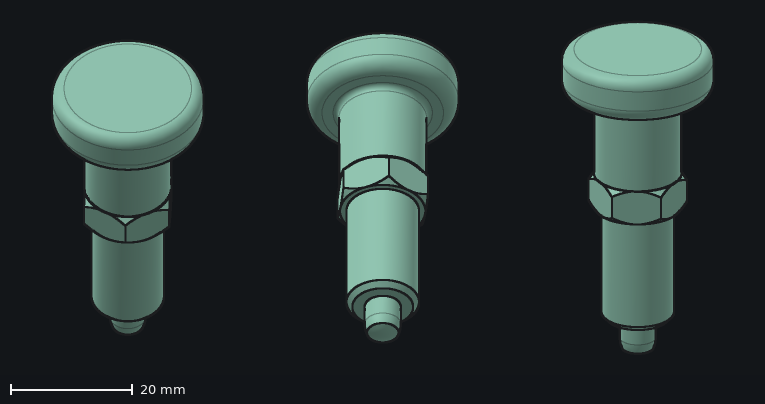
import cadquery as cq
import math

total_height = 54.5
pin_length = 6.0
sleeve_length = 20.0
hex_height = 6.0
sleeve_bottom = pin_length
hex_bottom = sleeve_bottom + sleeve_length
hex_top = hex_bottom + hex_height

head_radius = 25.0 / 2
head_height = 8.0
head_top_fillet = 2.0
head_bottom_fillet = 2.5
neck_radius = 7.2
neck_fillet = 1.0
head_bottom = total_height - head_height

hex_across_flats = 14.05
sleeve_radius = 6.0
sleeve_chamfer = 1.0

pin_radius = 3.0
taper_height = 1.8
dome_radius = 2.6
dome_height = 0.6


def arc_point(center_x, center_z, radius, angle):
    """Point on a circle in the profile plane, at an angle in degrees."""
    turn = math.radians(angle)
    return center_x + radius * math.cos(turn), center_z + radius * math.sin(turn)


def make_knob():
    """Round head with rolled edges, blended into a neck that rests on the hexagon."""
    return (
        cq.Workplane("XZ")
        .moveTo(0, hex_top)
        .lineTo(neck_radius, hex_top)
        .lineTo(neck_radius, head_bottom - neck_fillet)
        .threePointArc(
            arc_point(neck_radius + neck_fillet, head_bottom - neck_fillet, neck_fillet, 135),
            (neck_radius + neck_fillet, head_bottom),
        )
        .lineTo(head_radius - head_bottom_fillet, head_bottom)
        .threePointArc(
            arc_point(
                head_radius - head_bottom_fillet, head_bottom + head_bottom_fillet, head_bottom_fillet, -45
            ),
            (head_radius, head_bottom + head_bottom_fillet),
        )
        .lineTo(head_radius, total_height - head_top_fillet)
        .threePointArc(
            arc_point(head_radius - head_top_fillet, total_height - head_top_fillet, head_top_fillet, 45),
            (head_radius - head_top_fillet, total_height),
        )
        .lineTo(0, total_height)
        .close()
        .revolve(360, (0, 0, 0), (0, 1, 0))
    )


def make_hexagon():
    """Hexagon with corners on X, its corners turned off at 45 degrees at both ends."""
    corner_radius = hex_across_flats / 2 / math.cos(math.pi / 6)
    corner_chamfer = corner_radius - hex_across_flats / 2
    prism = cq.Workplane("XY").workplane(offset=hex_bottom).polygon(6, 2 * corner_radius).extrude(hex_height)
    turned_blank = (
        cq.Workplane("XY")
        .workplane(offset=hex_bottom)
        .circle(corner_radius)
        .extrude(hex_height)
        .edges()
        .chamfer(corner_chamfer)
    )
    return prism.intersect(turned_blank)


def make_sleeve():
    """Cylinder below the hexagon, chamfered at its lower end."""
    sleeve = cq.Workplane("XY").workplane(offset=sleeve_bottom).circle(sleeve_radius).extrude(sleeve_length)
    return sleeve.faces("<Z").edges().chamfer(sleeve_chamfer)


def make_pin():
    """Straight pin, curving in tangentially to a domed tip."""
    taper_top = dome_height + taper_height
    sphere_radius = (dome_radius**2 + dome_height**2) / (2 * dome_height)
    half_angle = math.degrees(math.asin(dome_radius / sphere_radius)) / 2
    return (
        cq.Workplane("XZ")
        .moveTo(0, sleeve_bottom)
        .lineTo(pin_radius, sleeve_bottom)
        .lineTo(pin_radius, taper_top)
        .tangentArcPoint((dome_radius, dome_height), relative=False)
        .threePointArc(arc_point(0, sphere_radius, sphere_radius, half_angle - 90), (0, 0))
        .close()
        .revolve(360, (0, 0, 0), (0, 1, 0))
    )


knob = make_knob()
housing = make_hexagon().union(make_sleeve()).union(make_pin())

result = cq.Compound.makeCompound([knob.val(), housing.val()])